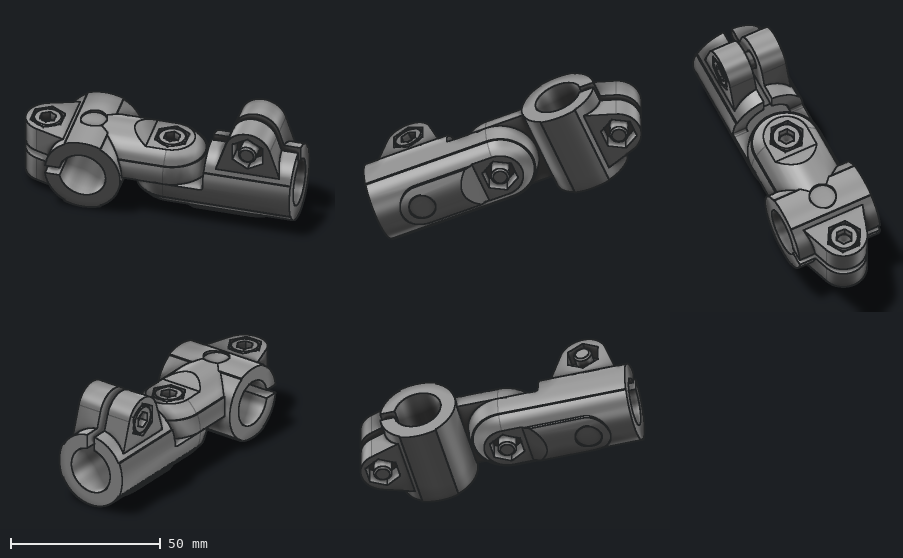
import cadquery as cq
import math

TUBE_RADIUS = 13.0
BORE_RADIUS = 8.0
CROSS_LENGTH = 30.0
PIVOT_X = 27.0
TUBE_END_X = 71.0
TUBE_BORE_LENGTH = 25.0

PAD_PEAK = 13.0
PAD_HALF_WIDTH = 6.2
PAD_CROWN_RADIUS = 17.0

FLAT_HALF = 10.5
PIVOT_FLAT_LENGTH = 7.1
RAMP_ANGLE = 24.5
SHOULDER_GAP = 14.0
SHOULDER_FILLET = 1.0

LUG_BASE_HALF_WIDTH = 11.1
LUG_TIP_RADIUS = 8.0
SCREW_OFFSET = 16.0
CROSS_LUG_REACH = 23.4
TUBE_LUG_REACH = 24.0
LUG_X = 55.9
SLOT_WIDTH = 3.0

RECESS_DIAMETER = 9.0
RECESS_DEPTH = 0.9
PLATE_PEAK = 13.4
PLATE_RADIUS = 7.5
PLATE_X = 55.2

SHANK_DIAMETER = 6.0
SCREW_HOLE_DIAMETER = 6.5
HEAD_DIAMETER = 10.0
HEAD_HEIGHT = 6.0
HEAD_CHAMFER = 0.5
SHANK_LENGTH = 16.0
TIP_CHAMFER = 0.7
SOCKET_FLATS = 5.0
SOCKET_DEPTH = 3.0
DRILL_HALF_ANGLE = 59.0
HEX_POCKET_FLATS = 10.5

SHOULDER_X = PIVOT_X + SHOULDER_GAP
BORE_START_X = TUBE_END_X - TUBE_BORE_LENGTH
LUG_BASE = math.sqrt(TUBE_RADIUS**2 - FLAT_HALF**2)
SLOT_HALF = SLOT_WIDTH / 2
CLEAR = 56.7


def crown_edge(peak, half_width):
    """Height of a crowned surface at half_width from its peak."""
    return peak - PAD_CROWN_RADIUS + math.sqrt(PAD_CROWN_RADIUS**2 - half_width**2)


PAD_EDGE = crown_edge(PAD_PEAK, PAD_HALF_WIDTH)


def facing_x(x_start):
    """Workplane facing +X at x_start, local x along Y and local y along Z."""
    return cq.Workplane("YZ", origin=(x_start, 0, 0))


def block(x_range, y_range, z_range):
    """Box given by its low and high coordinates along X, Y and Z."""
    sizes = [high - low for low, high in (x_range, y_range, z_range)]
    corner = (x_range[0], y_range[0], z_range[0])
    return cq.Workplane("XY", origin=corner).box(*sizes, centered=False)


def padded_tube(plane, length):
    """Solid tube blank with crowned pads on the local +x and -x sides."""
    round_body = plane.circle(TUBE_RADIUS).extrude(length)
    pads = (
        plane.moveTo(-PAD_EDGE, -PAD_HALF_WIDTH)
        .threePointArc((-PAD_PEAK, 0), (-PAD_EDGE, PAD_HALF_WIDTH))
        .lineTo(PAD_EDGE, PAD_HALF_WIDTH)
        .threePointArc((PAD_PEAK, 0), (PAD_EDGE, -PAD_HALF_WIDTH))
        .close()
        .extrude(length)
    )
    return round_body.union(pads)


def pivot_round():
    """The padded tube section turned about the vertical pivot axis."""
    ball = cq.Workplane("XY").sphere(TUBE_RADIUS)
    pad_ring = (
        cq.Workplane("XZ")
        .moveTo(0, -PAD_HALF_WIDTH)
        .lineTo(PAD_EDGE, -PAD_HALF_WIDTH)
        .threePointArc((PAD_PEAK, 0), (PAD_EDGE, PAD_HALF_WIDTH))
        .lineTo(0, PAD_HALF_WIDTH)
        .close()
        .revolve(360, (0, 0), (0, 1))
    )
    return ball.union(pad_ring).translate((PIVOT_X, 0, 0))


def pivot_face_cut():
    """Cutter above the arm: the flat screw face, with a ramp up to the full tube."""
    foot_x = PIVOT_X - PIVOT_FLAT_LENGTH
    ramp_top_x = foot_x - (CLEAR - FLAT_HALF) / math.tan(math.radians(RAMP_ANGLE))
    far_x = PIVOT_X + CLEAR
    return (
        cq.Workplane("XZ", origin=(0, CLEAR / 2, 0))
        .polyline([(far_x, FLAT_HALF), (foot_x, FLAT_HALF), (ramp_top_x, CLEAR), (far_x, CLEAR)])
        .close()
        .extrude(CLEAR)
    )


def lug(reach):
    """Tapered round-tipped lug reaching along local +Y, screw faces at +Z and -Z."""
    center_y = reach - LUG_TIP_RADIUS
    center_height = center_y - LUG_BASE
    distance = math.hypot(LUG_BASE_HALF_WIDTH, center_height)
    lean = (
        math.acos(LUG_TIP_RADIUS / distance)
        - math.atan2(center_height, LUG_BASE_HALF_WIDTH)
    )
    tangent_x = LUG_TIP_RADIUS * math.cos(lean)
    tangent_y = center_y + LUG_TIP_RADIUS * math.sin(lean)
    return (
        cq.Workplane("XY", origin=(0, 0, -FLAT_HALF))
        .moveTo(-LUG_BASE_HALF_WIDTH, 0)
        .lineTo(-LUG_BASE_HALF_WIDTH, LUG_BASE)
        .lineTo(-tangent_x, tangent_y)
        .threePointArc((0, reach), (tangent_x, tangent_y))
        .lineTo(LUG_BASE_HALF_WIDTH, LUG_BASE)
        .lineTo(LUG_BASE_HALF_WIDTH, 0)
        .close()
        .extrude(2 * FLAT_HALF)
    )


def hexagon(plane, flats):
    """Hexagon with corners on the local y axis."""
    return plane.transformed(rotate=(0, 0, 90)).polygon(6, flats / math.cos(math.pi / 6))


def screw_seat():
    """Cutter on the Z axis: clearance hole with a hexagonal pocket at each end."""
    hole = (
        cq.Workplane("XY", origin=(0, 0, -FLAT_HALF))
        .circle(SCREW_HOLE_DIAMETER / 2)
        .extrude(2 * FLAT_HALF)
    )
    top = cq.Workplane("XY", origin=(0, 0, FLAT_HALF))
    bottom = cq.Workplane("XY", origin=(0, 0, -FLAT_HALF))
    head_pocket = hexagon(top, HEX_POCKET_FLATS).extrude(-HEAD_HEIGHT)
    nut_pocket = hexagon(bottom, HEX_POCKET_FLATS).extrude(HEAD_HEIGHT)
    return hole.union(head_pocket).union(nut_pocket)


def cap_screw():
    """Socket-head screw on the Z axis with its head flush with the upper screw face."""
    head = (
        cq.Workplane("XY", origin=(0, 0, FLAT_HALF - HEAD_HEIGHT))
        .circle(HEAD_DIAMETER / 2)
        .extrude(HEAD_HEIGHT)
        .faces(">Z")
        .chamfer(HEAD_CHAMFER)
    )
    shank = (
        cq.Workplane("XY", origin=(0, 0, FLAT_HALF - HEAD_HEIGHT))
        .circle(SHANK_DIAMETER / 2)
        .extrude(-SHANK_LENGTH)
        .faces("<Z")
        .chamfer(TIP_CHAMFER)
    )
    top = cq.Workplane("XY", origin=(0, 0, FLAT_HALF))
    socket = hexagon(top, SOCKET_FLATS).extrude(-SOCKET_DEPTH)
    cone_height = SOCKET_FLATS / 2 / math.tan(math.radians(DRILL_HALF_ANGLE))
    cone = cq.Workplane(
        cq.Solid.makeCone(
            SOCKET_FLATS / 2, 0, cone_height,
            cq.Vector(0, 0, FLAT_HALF - SOCKET_DEPTH), cq.Vector(0, 0, -1),
        )
    )
    return head.union(shank).cut(socket).cut(cone)


def at_cross_lug(item):
    return item.translate((-SCREW_OFFSET, 0, 0))


def at_pivot(item):
    return item.translate((PIVOT_X, 0, 0))


def at_tube_lug(item):
    """Turn the screw axis along Y, head toward +Y, and move it to the end tube's lug."""
    return item.rotate((0, 0, 0), (1, 0, 0), -90).translate((LUG_X, 0, SCREW_OFFSET))


def make_cross_clamp():
    """Split clamp on the cross tube, with the upper half of the pivot joint."""
    cross_plane = cq.Workplane(
        cq.Plane(origin=(0, -CROSS_LENGTH / 2, 0), xDir=(0, 0, 1), normal=(0, 1, 0))
    )
    body = padded_tube(cross_plane, CROSS_LENGTH)
    body = body.union(lug(CROSS_LUG_REACH).rotate((0, 0, 0), (0, 0, 1), 90))

    arm = padded_tube(facing_x(0), PIVOT_X).union(pivot_round())
    arm = arm.intersect(block((0, CLEAR), (-CLEAR, CLEAR), (0, CLEAR)))
    body = body.union(arm.cut(pivot_face_cut()))

    bore = cross_plane.circle(BORE_RADIUS).extrude(CROSS_LENGTH)
    slot = block((-CLEAR, 0), (-CLEAR, CLEAR), (-SLOT_HALF, SLOT_HALF))
    recess = (
        cq.Workplane("XY", origin=(0, 0, PAD_PEAK - RECESS_DEPTH))
        .circle(RECESS_DIAMETER / 2)
        .extrude(CLEAR)
    )
    body = body.cut(bore).cut(slot).cut(recess)
    return body.cut(at_cross_lug(screw_seat())).cut(at_pivot(screw_seat()))


def make_plate():
    """Crowned plate under the end tube, round at its +X end."""
    edge = crown_edge(PLATE_PEAK, PLATE_RADIUS)
    crowned = (
        facing_x(PIVOT_X)
        .moveTo(-PLATE_RADIUS, -LUG_BASE)
        .lineTo(-PLATE_RADIUS, -edge)
        .threePointArc((0, -PLATE_PEAK), (PLATE_RADIUS, -edge))
        .lineTo(PLATE_RADIUS, -LUG_BASE)
        .close()
        .extrude(PLATE_X + PLATE_RADIUS - PIVOT_X)
    )
    round_end = cq.Workplane("XY", origin=(PLATE_X, 0, 0)).circle(PLATE_RADIUS).extrude(-CLEAR)
    straight = block((PIVOT_X, PLATE_X), (-PLATE_RADIUS, PLATE_RADIUS), (-CLEAR, 0))
    return crowned.intersect(straight.union(round_end))


def make_end_clamp():
    """Split clamp on the end tube, with the lower half of the pivot joint."""
    body = padded_tube(facing_x(PIVOT_X), TUBE_END_X - PIVOT_X)
    body = body.union(pivot_round()).union(make_plate())
    body = body.cut(pivot_face_cut().rotate((PIVOT_X, 0, 0), (PIVOT_X, 1, 0), 180))
    standing_lug = lug(TUBE_LUG_REACH).rotate((0, 0, 0), (1, 0, 0), 90)
    body = body.union(standing_lug.translate((LUG_X, 0, 0)))

    step = block((-CLEAR, SHOULDER_X), (-CLEAR, CLEAR), (0, CLEAR))
    step = step.edges(">X and <Z").fillet(SHOULDER_FILLET)

    bore = facing_x(BORE_START_X).circle(BORE_RADIUS).extrude(TUBE_BORE_LENGTH)
    mouth = facing_x(PIVOT_X).circle(BORE_RADIUS).extrude(BORE_START_X - PIVOT_X)
    mouth = mouth.intersect(block((0, CLEAR), (-CLEAR, CLEAR), (0, CLEAR)))

    slot = block((PIVOT_X, 2 * CLEAR), (-SLOT_HALF, SLOT_HALF), (0, CLEAR))
    recess = (
        cq.Workplane("XY", origin=(PLATE_X, 0, RECESS_DEPTH - PLATE_PEAK))
        .circle(RECESS_DIAMETER / 2)
        .extrude(-CLEAR)
    )
    body = body.cut(step).cut(bore).cut(mouth).cut(slot).cut(recess)
    return body.cut(at_pivot(screw_seat())).cut(at_tube_lug(screw_seat()))


cross_clamp = make_cross_clamp()
end_clamp = make_end_clamp()
screws = [place(cap_screw()) for place in (at_cross_lug, at_pivot, at_tube_lug)]

result = cq.Compound.makeCompound(
    [cross_clamp.val(), end_clamp.val(), *[screw.val() for screw in screws]]
)